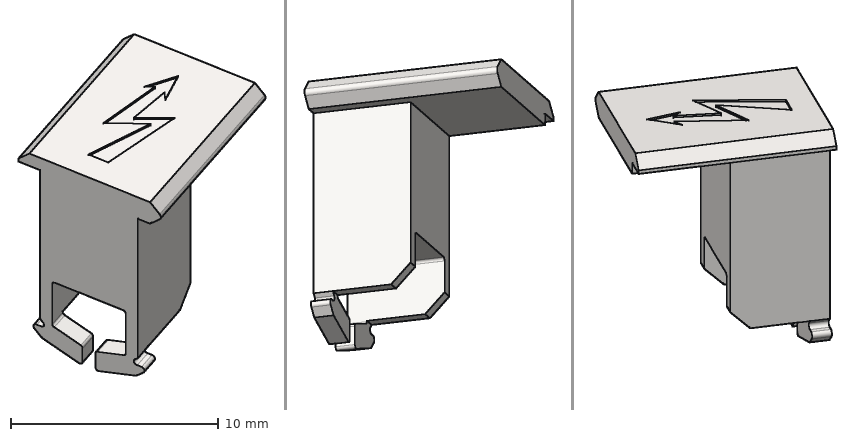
import cadquery as cq
import math

HEIGHT = 12.47

PLATE_WIDTH = 8.0
PLATE_DEPTH = 9.9
PLATE_LEFT = -3.97
PLATE_THICKNESS = 1.41
LEFT_LIP_THICKNESS = 0.82
LEFT_BEVEL = 0.62
NOSE_RADIUS = 0.25

LEG_WIDTH = 5.5
LEG_DEPTH = 4.99
LEG_BOTTOM = 1.9
LEG_CHAMFER = 1.0
WINDOW_WIDTH = 4.13
WINDOW_TOP = 4.65
WINDOW_RADIUS = 0.15

PRONG_DEPTH = 1.0
PRONG_GAP = 0.72
PRONG_SLOPE = math.radians(18)
PRONG_INNER_CORNER = 1.76
PRONG_HEEL_X = 2.65
PRONG_HEEL_Z = 0.69
BARB_TOP = 1.42
BARB_RADIUS = 0.19
NECK_RADIUS = 0.17
TOE_RADIUS = 0.16
TOE_TOP_RADIUS = 0.15

ARROW_POCKET_DEPTH = 0.2
ARROW_RECESS = 0.1
ARROW_OUTLINE = [
    (0.0, 8.42),
    (0.32, 6.66),
    (0.04, 7.1),
    (-0.31, 4.78),
    (1.38, 5.76),
    (0.25, 1.4),
    (-0.86, 1.4),
    (0.6, 4.81),
    (-1.38, 3.69),
    (-0.56, 7.21),
    (-1.01, 6.93),
]


def extrude_back(points, depth):
    """Extrude an XZ outline from the front face toward +Y."""
    return cq.Workplane("XZ").polyline(points).close().extrude(-depth)


def round_corner(body, corner, radius):
    """Fillet the Y-parallel edge that passes through the XZ point."""
    x, z = corner
    return body.edges(cq.selectors.NearestToPointSelector((x, PRONG_DEPTH / 2, z))).fillet(radius)


def make_plate():
    half_thickness = PLATE_THICKNESS / 2
    underside = HEIGHT - PLATE_THICKNESS
    lip_bottom = HEIGHT - LEFT_LIP_THICKNESS
    nose_tip = PLATE_LEFT + PLATE_WIDTH + NOSE_RADIUS * (math.sqrt(2) - 1)
    bevel_start = nose_tip - half_thickness
    outline = [
        (PLATE_LEFT + LEFT_BEVEL, HEIGHT),
        (bevel_start, HEIGHT),
        (nose_tip, HEIGHT - half_thickness),
        (bevel_start, underside),
        (-LEG_WIDTH / 2, underside),
        (-LEG_WIDTH / 2, lip_bottom),
        (PLATE_LEFT, lip_bottom),
        (PLATE_LEFT, HEIGHT - LEFT_BEVEL),
    ]
    return extrude_back(outline, PLATE_DEPTH).edges("|Y and >X").fillet(NOSE_RADIUS)


def make_leg():
    leg_height = HEIGHT - PLATE_THICKNESS - LEG_BOTTOM
    leg = (
        cq.Workplane("XY", origin=(0, LEG_DEPTH / 2, LEG_BOTTOM))
        .box(LEG_WIDTH, LEG_DEPTH, leg_height, centered=(True, True, False))
        .edges("|X and <Z and >Y")
        .chamfer(LEG_CHAMFER)
    )
    window = (
        cq.Workplane("XY", origin=(0, LEG_DEPTH / 2, 0))
        .box(WINDOW_WIDTH, LEG_DEPTH, WINDOW_TOP, centered=(True, True, False))
        .edges("|Y and >Z")
        .fillet(WINDOW_RADIUS)
    )
    return leg.cut(window)


def make_right_prong():
    arm_outer = LEG_WIDTH / 2
    arm_inner = WINDOW_WIDTH / 2
    toe_x = PRONG_GAP / 2
    prong_top = (LEG_BOTTOM + WINDOW_TOP) / 2
    neck = (arm_outer - (LEG_BOTTOM - BARB_TOP), BARB_TOP)
    barb = (PRONG_HEEL_X + (BARB_TOP - PRONG_HEEL_Z), BARB_TOP)
    toe_bottom = (toe_x, PRONG_HEEL_Z - (PRONG_HEEL_X - toe_x) * math.tan(PRONG_SLOPE))
    toe_top = (toe_x, PRONG_INNER_CORNER - (arm_inner - toe_x) * math.tan(PRONG_SLOPE))
    inner_corner = (arm_inner, PRONG_INNER_CORNER)
    outline = [
        (arm_inner, prong_top),
        (arm_outer, prong_top),
        (arm_outer, LEG_BOTTOM),
        neck,
        barb,
        (PRONG_HEEL_X, PRONG_HEEL_Z),
        toe_bottom,
        toe_top,
        inner_corner,
    ]
    prong = extrude_back(outline, PRONG_DEPTH)
    prong = round_corner(prong, neck, NECK_RADIUS)
    prong = round_corner(prong, barb, BARB_RADIUS)
    prong = round_corner(prong, toe_bottom, TOE_RADIUS)
    prong = round_corner(prong, toe_top, TOE_TOP_RADIUS)
    return round_corner(prong, inner_corner, WINDOW_RADIUS)


def make_arrow_prism(top, thickness):
    """Arrow-shaped prism reaching down from the given height."""
    return cq.Workplane("XY", origin=(0, 0, top)).polyline(ARROW_OUTLINE).close().extrude(-thickness)


def make_cover():
    right_prong = make_right_prong()
    left_prong = right_prong.mirror("YZ")
    cover = make_plate().union(make_leg()).union(right_prong).union(left_prong)
    return cover.cut(make_arrow_prism(HEIGHT, ARROW_POCKET_DEPTH))


def make_arrow_inlay():
    return make_arrow_prism(HEIGHT - ARROW_RECESS, ARROW_POCKET_DEPTH - ARROW_RECESS)


cover = make_cover()
arrow_inlay = make_arrow_inlay()
result = cq.Compound.makeCompound([cover.solids().val(), arrow_inlay.val()])